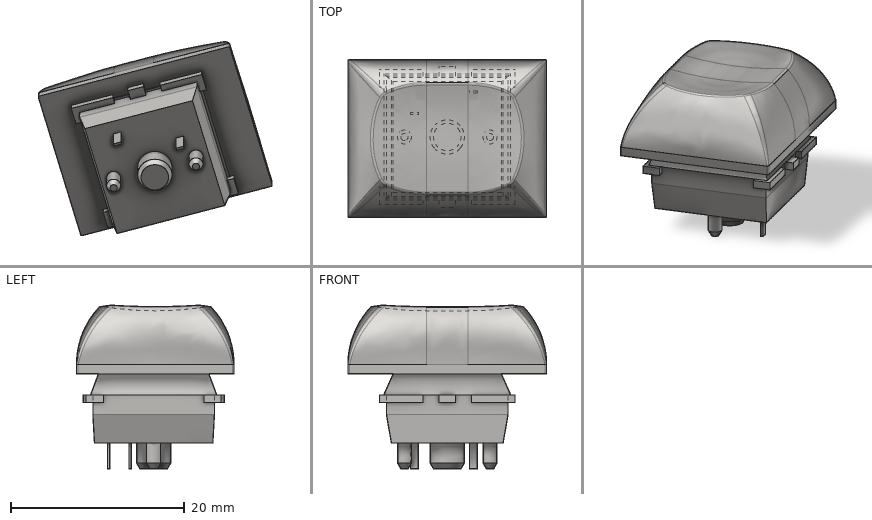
import cadquery as cq
import math


body_bottom = 2.98
body_step = 6.27
flange_bottom = 7.67
flange_top = 8.55
cap_bottom = 10.97
band_top = 12.03

cap_length = 22.95
cap_depth = 18.2
cap_offset_y = -0.18
cap_half = cap_depth / 2
stretch = (cap_length - cap_depth) / 2
flank_radius = 9.68
base_bulge = 0.02
base_corner = 0.18
rim_height = 18.82
rim_bulge = 0.9
rim_corner = 0.65
rim_fillet = 0.37
loft_top = 19.5
loft_sections = 5

dish_bottom = 18.25
dish_radius = 38.55
dish_reach = 10.33
dish_clearance = 2.3

skirt_top_half = (6.25, 6.38)
skirt_bottom_half = (7.32, 7.28)
body_half = (7.02, 7.02)
body_bottom_half = (6.45, 6.85)

corner_tab_inner = (2.82, 5.78)
corner_tab_outer = (7.83, 7.78)
middle_tab_width = 1.88
middle_tab_reach = 8.15

post_diameter = 3.95
side_pin_diameter = 1.6
side_pin_x = 4.93
pin_chamfer_height = 0.69
pin_chamfer_width = 0.4
blade_width = 0.92
blade_thickness = 0.28
blade_centers = [(-3.79, 2.7), (3.0, 5.19)]


def block(x_size, y_size, bottom, top, center=(0, 0)):
    """Upright box between two heights."""
    base = cq.Workplane("XY").workplane(offset=bottom).center(*center)
    return base.rect(x_size, y_size).extrude(top - bottom)


def tapered_block(bottom_half, top_half, bottom, top):
    """Rectangular block whose size changes evenly from bottom to top."""
    return (
        cq.Workplane("XY").workplane(offset=bottom).rect(2 * bottom_half[0], 2 * bottom_half[1])
        .workplane(offset=top - bottom).rect(2 * top_half[0], 2 * top_half[1])
        .loft(ruled=True)
    )


def cap_section(height):
    """Outline of the keycap flanks at one height: bulged sides and rounded corners."""
    rise = height - band_top
    progress = rise / (rim_height - band_top)
    bulge = base_bulge + (rim_bulge - base_bulge) * progress
    corner = base_corner + (rim_corner - base_corner) * progress

    middle = cap_half - flank_radius + math.sqrt(flank_radius**2 - rise**2)
    side = middle - bulge
    end = side - corner

    bulge_radius = (end**2 + bulge**2) / (2 * bulge)
    half_end = end / 2
    half_side = middle - bulge_radius + math.sqrt(bulge_radius**2 - half_end**2)

    outline = cq.Workplane("XY").workplane(offset=height).moveTo(-stretch, -middle)
    for sign in (1, -1):
        shift = sign * stretch
        outline = (
            outline.lineTo(shift, -sign * middle)
            .threePointArc((shift + sign * half_end, -sign * half_side), (shift + sign * end, -sign * side))
            .tangentArcPoint((shift + sign * side, -sign * end), relative=False)
            .threePointArc((shift + sign * middle, 0), (shift + sign * side, sign * end))
            .tangentArcPoint((shift + sign * end, sign * side), relative=False)
            .threePointArc((shift + sign * half_end, sign * half_side), (shift, sign * middle))
        )
    return outline.wire().val()


def dish_height(distance):
    """Height of the dish surface at a distance from its lowest line."""
    return dish_bottom + dish_radius - math.sqrt(dish_radius**2 - distance**2)


def dish_tool():
    """Cutter for the dish: a cylindrical middle with a spherical bowl at each end."""
    edge = dish_height(dish_reach)
    top = edge + dish_clearance
    tool = (
        cq.Workplane("YZ").workplane(offset=-stretch)
        .moveTo(-dish_reach, edge).threePointArc((0, dish_bottom), (dish_reach, edge))
        .lineTo(dish_reach, top).lineTo(-dish_reach, top).close()
        .extrude(2 * stretch)
    )
    half_reach = dish_reach / 2
    for sign in (1, -1):
        bowl = (
            cq.Workplane("YZ").workplane(offset=sign * stretch)
            .moveTo(0, dish_bottom).threePointArc((half_reach, dish_height(half_reach)), (dish_reach, edge))
            .lineTo(dish_reach, top).lineTo(0, top).close()
            .revolve(180, (0, 0, 0), (0, -sign, 0))
        )
        tool = tool.union(bowl)
    return tool


def keycap():
    step = (loft_top - band_top) / (loft_sections - 1)
    sections = [cap_section(band_top + i * step) for i in range(loft_sections)]
    crown = cq.Workplane(cq.Solid.makeLoft(sections)).cut(dish_tool())

    seam_limit = dish_height(cap_half / 2)
    rim = [edge for edge in crown.edges().vals() if edge.Center().z > seam_limit]
    crown = crown.newObject(rim).fillet(rim_fillet)

    band = block(cap_length, cap_depth, cap_bottom, band_top).edges("|Z").fillet(base_corner)
    return band.union(crown).translate((0, cap_offset_y, 0))


def housing():
    upper_body = block(2 * body_half[0], 2 * body_half[1], body_step, flange_top)
    lower_body = tapered_block(body_bottom_half, body_half, body_bottom, body_step)
    skirt = tapered_block(skirt_bottom_half, skirt_top_half, flange_top, cap_bottom)
    return upper_body.union(lower_body).union(skirt)


def flange_tabs():
    tabs = block(middle_tab_width, 2 * middle_tab_reach, flange_bottom, flange_top)
    x_size = corner_tab_outer[0] - corner_tab_inner[0]
    y_size = corner_tab_outer[1] - corner_tab_inner[1]
    x_center = (corner_tab_outer[0] + corner_tab_inner[0]) / 2
    y_center = (corner_tab_outer[1] + corner_tab_inner[1]) / 2
    for x_sign in (1, -1):
        for y_sign in (1, -1):
            center = (x_sign * x_center, y_sign * y_center)
            tabs = tabs.union(block(x_size, y_size, flange_bottom, flange_top, center))
    return tabs


def round_pin(diameter, x):
    pin = cq.Workplane("XY").center(x, 0).circle(diameter / 2).extrude(body_bottom)
    return pin.faces("<Z").chamfer(pin_chamfer_height, pin_chamfer_width)


def pins():
    group = round_pin(post_diameter, 0)
    for x in (-side_pin_x, side_pin_x):
        group = group.union(round_pin(side_pin_diameter, x))
    for center in blade_centers:
        group = group.union(block(blade_width, blade_thickness, 0, body_bottom, center))
    return group


result = housing().union(flange_tabs()).union(keycap()).union(pins())